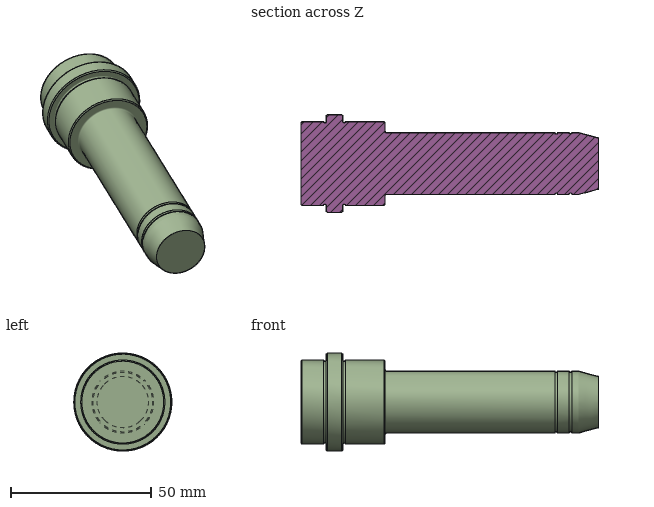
import cadquery as cq
import math

total_length = 106.0
collar_diameter = 35.0
head_diameter = 30.0
shank_diameter = 22.0

head_length = 30.0
collar_start = 9.0
collar_width = 5.9
edge_chamfer = 0.4
shank_fillet = 0.5

taper_length = 7.0
taper_angle = math.radians(15)

groove_width = 1.0
groove_depth = 0.4
shank_groove_starts = (90.4, 95.5)

collar_end = collar_start + collar_width
head_radius = head_diameter / 2
shank_radius = shank_diameter / 2
tip_radius = shank_radius - taper_length * math.tan(taper_angle)


def disc(start, length, radius):
    """Cylinder along +X starting at the given X position."""
    return cq.Workplane("YZ", origin=(start, 0, 0)).circle(radius).extrude(length)


def arc_groove(start, surface_radius):
    """Ring with a segment section, cut inward from a cylinder of the given radius."""
    middle = (start + groove_width / 2, surface_radius - groove_depth)
    end = (start + groove_width, surface_radius)
    return (
        cq.Workplane("XY")
        .moveTo(start, surface_radius)
        .threePointArc(middle, end)
        .close()
        .revolve(360, (0, 0, 0), (1, 0, 0))
    )


def make_shank():
    """Shank with a rounded root at the head and a conical lead-in tip."""
    root_end = head_length + shank_fillet
    return (
        cq.Workplane("XY")
        .moveTo(head_length, 0)
        .lineTo(head_length, shank_radius + shank_fillet)
        .radiusArc((root_end, shank_radius), -shank_fillet)
        .lineTo(total_length - taper_length, shank_radius)
        .lineTo(total_length, tip_radius)
        .lineTo(total_length, 0)
        .close()
        .revolve(360, (0, 0, 0), (1, 0, 0))
    )


head = disc(0, head_length, head_radius).edges().chamfer(edge_chamfer)
collar = disc(collar_start, collar_width, collar_diameter / 2).edges().chamfer(edge_chamfer)

for relief_start in (collar_start - groove_width, collar_end):
    head = head.cut(arc_groove(relief_start, head_radius))

shank = make_shank()
for groove_start in shank_groove_starts:
    shank = shank.cut(arc_groove(groove_start, shank_radius))

result = head.union(collar).union(shank)